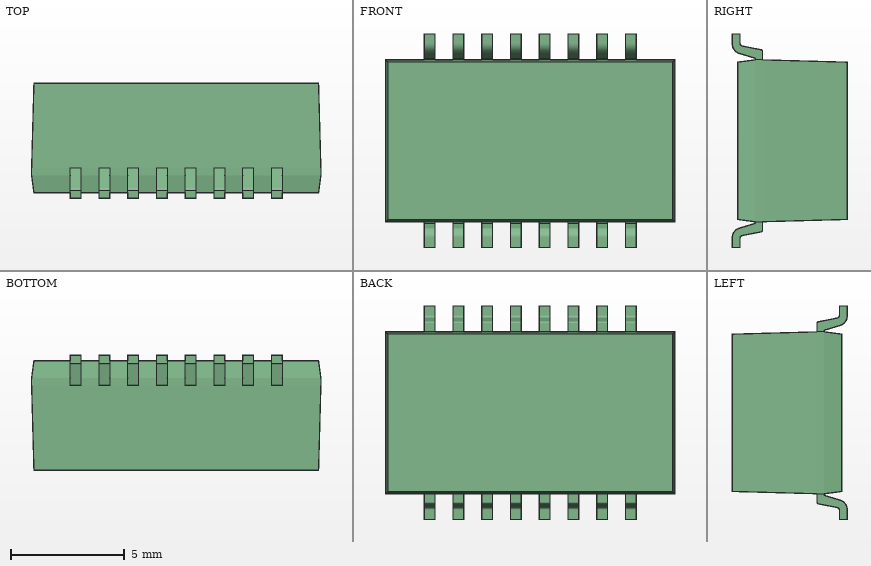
import cadquery as cq

body_length = 12.8
body_width = 7.17
body_back = 5.1
body_front = 0.24
band_front = 1.01
band_back = 1.35
front_inset = 0.1
back_inset = 0.1

leads_per_side = 8
lead_row_length = 8.9
lead_pitch = lead_row_length / (leads_per_side - 1)
lead_width = 0.49
lead_span = 9.45
foot_thickness = 0.36
lead_root = 0.25
shoulder_outer_z = 4.02
shoulder_inner_z = 3.65
heel_inner_z = 4.21
heel_outer_z = 3.95
heel_inner_radius = 0.1
heel_outer_radius = 0.45
shoulder_radius = 0.08


def tapered_block(start_y, end_y, end_inset):
    """Block from the full band outline at start_y to an inset outline at end_y."""
    wide = cq.Workplane("XZ", origin=(0, start_y, 0)).rect(body_length, body_width)
    return (
        wide.workplane(offset=start_y - end_y)
        .rect(body_length - 2 * end_inset, body_width - 2 * end_inset)
        .loft(combine=True, ruled=True)
    )


def make_body():
    band = cq.Workplane("XY").box(body_length, band_back - band_front, body_width)
    band = band.translate((0, (band_back + band_front) / 2, 0))
    front = tapered_block(band_front, body_front, front_inset)
    back = tapered_block(band_back, body_back, back_inset)
    return band.union(front).union(back)


def round_corner(lead, y, z, radius):
    """Round the lead edge along X that passes through (y, z)."""
    reach = 0.01
    near_corner = cq.selectors.BoxSelector(
        (-lead_width, y - reach, z - reach),
        (lead_width, y + reach, z + reach),
    )
    return lead.edges("|X").edges(near_corner).fillet(radius)


def make_upper_lead():
    """One lead on the +Z side, centred on X = 0."""
    root_z = body_width / 2 - lead_root
    tip_z = lead_span / 2
    profile = [
        (band_front, root_z),
        (band_back, root_z),
        (band_back, shoulder_outer_z),
        (foot_thickness, heel_inner_z),
        (foot_thickness, tip_z),
        (0, tip_z),
        (0, heel_outer_z),
        (band_front, shoulder_inner_z),
    ]
    lead = cq.Workplane("YZ").polyline(profile).close().extrude(lead_width / 2, both=True)

    lead = round_corner(lead, band_back, shoulder_outer_z, shoulder_radius)
    lead = round_corner(lead, foot_thickness, heel_inner_z, heel_inner_radius)
    return round_corner(lead, 0, heel_outer_z, heel_outer_radius)


upper_lead = make_upper_lead()
lower_lead = upper_lead.mirror("XY")
first_lead_x = -lead_row_length / 2

result = make_body()
for index in range(leads_per_side):
    position = (first_lead_x + index * lead_pitch, 0, 0)
    result = result.union(upper_lead.translate(position))
    result = result.union(lower_lead.translate(position))